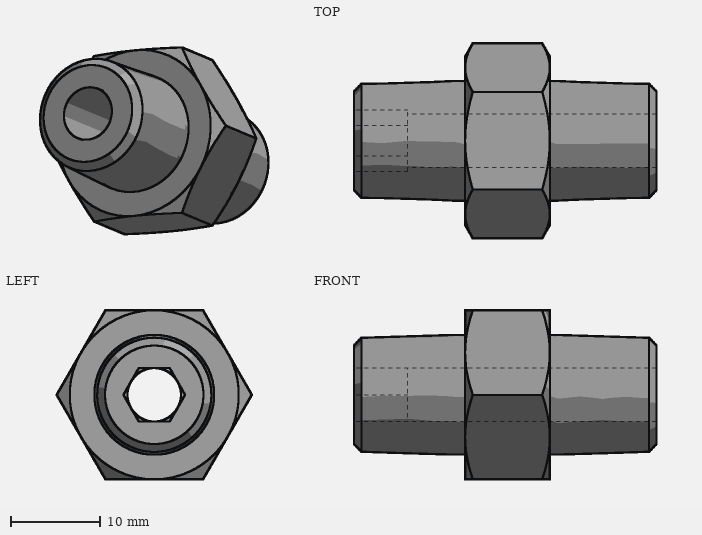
import cadquery as cq
import math

total_length = 34.0
hex_flats = 19.0
hex_width = 9.5
hex_chamfer_angle = 30.0

taper = 1 / 16
taper_length = 11.2
taper_large_diameter = 13.48
lead_chamfer_depth = 0.856
left_end_length = 12.5

bore_diameter = 6.0
socket_flats = 6.0
socket_depth = 6.0

half_side_angle = math.pi / 6
x_left = -total_length / 2
x_right = total_length / 2
hex_left = x_left + left_end_length
hex_right = hex_left + hex_width
hex_corners = hex_flats / math.cos(half_side_angle)
socket_corners = socket_flats / math.cos(half_side_angle)


def hex_prism(corner_diameter, x_start, length):
    """Hexagonal prism along X with corners on the Y axis and flats facing Z."""
    return (
        cq.Workplane("YZ", origin=(x_start, 0, 0))
        .polygon(6, corner_diameter)
        .extrude(length)
    )


def revolve_about_x(profile):
    """Solid of revolution about X from points given as (x, radius)."""
    return cq.Workplane("XZ").polyline(profile).close().revolve(360, (0, 0, 0), (1, 0, 0))


def make_nut():
    """Hexagon with its corners turned down by a cone on both faces."""
    face_radius = hex_flats / 2
    corner_radius = hex_corners / 2
    chamfer_length = (corner_radius - face_radius) * math.tan(math.radians(hex_chamfer_angle))
    envelope = revolve_about_x([
        (hex_left, 0),
        (hex_left, face_radius),
        (hex_left + chamfer_length, corner_radius),
        (hex_right - chamfer_length, corner_radius),
        (hex_right, face_radius),
        (hex_right, 0),
    ])
    return hex_prism(hex_corners, hex_left, hex_width).intersect(envelope)


def make_tapered_end(tip_x, inward):
    """Tapered spigot from its tip to the middle of the hexagon; inward is +1 or -1 along X."""
    large_radius = taper_large_diameter / 2
    tip_radius = large_radius - taper * taper_length / 2
    chamfer_end_radius = tip_radius + taper * lead_chamfer_depth / 2
    hex_middle = (hex_left + hex_right) / 2
    return revolve_about_x([
        (tip_x, 0),
        (tip_x, tip_radius - lead_chamfer_depth),
        (tip_x + inward * lead_chamfer_depth, chamfer_end_radius),
        (tip_x + inward * taper_length, large_radius),
        (hex_middle, large_radius),
        (hex_middle, 0),
    ])


def make_bore():
    """Round hole through the whole length."""
    return cq.Workplane("YZ", origin=(x_left, 0, 0)).circle(bore_diameter / 2).extrude(total_length)


body = make_nut().union(make_tapered_end(x_left, 1)).union(make_tapered_end(x_right, -1))
socket = hex_prism(socket_corners, x_left, socket_depth)
result = body.cut(make_bore()).cut(socket)